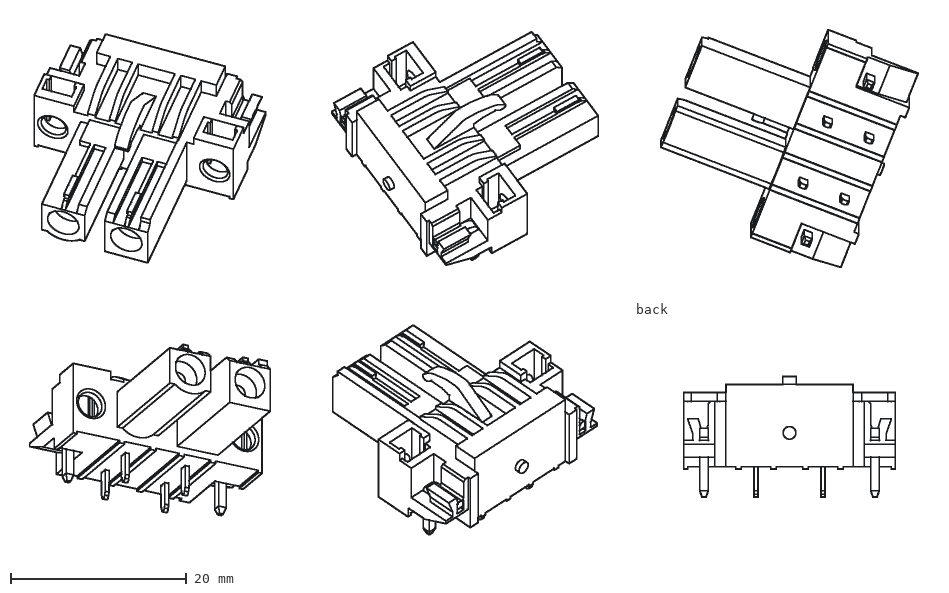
import cadquery as cq
import math


POLE_PITCH = 7.62
POLES = (-POLE_PITCH / 2, POLE_PITCH / 2)
AXIS_Z = 4.13
SIDES = (-1, 1)

BLOCK_HALF = 12.05
CORE_HALF = 8.49
BASE_Z = 0.27
DECK_Z = 7.73
BACK_FACE_Y = 10.73
BACK_EDGE_Y = 11.33
FOOT_WIDTH = 0.66
FOOT_OFFSET = 2.0
END_FOOT_WIDTH = 0.48

BAR_HALF = 7.24
BAR_FRONT_Y = 7.71
RIB_TOP_Z = 9.64
RIB_SPANS = ((-5.59, -4.68), (-2.95, -2.22), (2.22, 2.95), (4.68, 5.41))
RIB_CURVE_Y = 3.38
RIB_SLOPE = (1.9, 9.17)
RIB_CURVE_DROP = 0.12
RIB_FRONT_Z = 8.07
PEG_R = 0.72

TOWER_DEPTH = 3.45
TOWER_Z = 8.73
SCREW_X = 9.78
SCREW_R = 1.5
SCREW_MOUTH_R = 1.83
SCREW_CHAMFER = 0.25
NUT_POCKET_Z = 1.65
NUT_FRONT_Y = 1.27
NUT_BACK_Y = 4.28
NUT_INNER_X = 7.95
NUT_OUTER_FRONT_X = 11.51
NUT_OUTER_BACK_X = 11.6
NUT_WAIST_FRONT_Y = 2.82
NUT_WAIST_INNER_X = 8.23
NUT_WAIST_OUTER_X = 11.21

WING_BACK_Y = 11.0
WING_LEG_Y = 4.82
WING_UNDER_Z = 1.36
WING_SLOPE_Y = 7.55
WING_SLOPE_Z = 2.85
WING_FILLET = 0.2
SHELF_Z = 3.27
POCKET_FRONT_Y = 5.36
JAW_FRONT_Y = 7.36

STRIP_X = 9.73
STRIP_SIZE = 1.0
STRIP_TIP = 0.48
STRIP_TOP_Z = 4.64
STRIP_BACK_Y = 10.82
STRIP_WALL_GAP = 0.06
STRIP_LEG_Y = POCKET_FRONT_Y + STRIP_WALL_GAP
BEND_OUTER_R = 1.55
LIP_OUTER_X = STRIP_X + 0.34
LIP_INNER_X = STRIP_X - 0.31
JAW_TOP_Z = 5.73
JAW_NECK_Z = 4.0
JAW_TOP_OUTER_X = 11.6
JAW_TOP_INNER_X = 10.4
JAW_NECK_X = 11.0
WALL_X = 9.24
WALL_SLOPE_Z = 5.07
WALL_CHAMFER = 0.28

SLEEVE_FRONT_Y = -13.21
SLEEVE_HALF = 2.6
SLEEVE_TOP_Z = 6.36
LEFT_SLEEVE_BOTTOM_Z = 1.91
RIGHT_SLEEVE_BOTTOM_Z = 1.09
SLEEVE_BELLY_R = 2.96
SOCKET_R = 1.89
SOCKET_DEPTH = 2.1
SOCKET_END_R = 0.93

CODING_Z = 7.09
TALL_CODING_Z = DECK_Z
SLAB_FRONT_Y = -3.35
NOSE_Y = -12.43
INNER_RIB_WIDTH = 0.99
LEFT_SLAB_X = -5.33
RIGHT_RIB_X = 5.31
KEY_WEB = 0.48
KEY_HEAD = 0.66
KEY_HEAD_Z = 7.36
KEY_HEAD_Y = (-12.07, -9.09)

LATCH_HALF = 0.79
LATCH_ROOT_Y = POCKET_FRONT_Y
LATCH_TOP_Z = 10.56
LATCH_CREST_BACK_Y = 1.0
LATCH_CREST_FRONT_Y = -0.55
LATCH_THROAT_Z = 8.82
LATCH_THROAT_FRONT_Y = -2.95
LATCH_THROAT_BACK_Y = -1.22
LATCH_NECK_Z = 8.47
LATCH_RAMP_END = (1.9, 10.15)
LATCH_CREST_MID = (1.48, 10.43)
LATCH_FALL_END = (-2.36, 10.15)
LATCH_BROW_END = (-3.8, 9.36)
LATCH_NOSE = (-4.27, 8.9)
LATCH_CHIN = (-4.2, 8.5)
LATCH_HOOK_FRONT = (-3.9, 8.36)
LATCH_HOOK_LOW = (-3.6, 8.36)
LATCH_HOOK_BACK = (-3.35, 8.46)

PIN_TIP_Z = -3.18
PIN_TAPER = 0.74
CONTACT_TIP_R = 0.33
PIN_THICKNESS = 0.5
PIN_WIDTH = 1.0
PIN_ROWS = (3.14, 8.22)
PIN_TOP_Z = 2.0


def box(x, y, z):
    """Box between pairs of limits, given in any order."""
    size = [abs(b - a) for a, b in (x, y, z)]
    low = [min(limits) for limits in (x, y, z)]
    return cq.Workplane("XY").box(*size, centered=False).translate(tuple(low))


def side_profile(x0, x1, start):
    """Begin a (Y, Z) outline in the plane X = min(x0, x1); returns the sketch and its extrusion."""
    sketch = cq.Workplane("YZ", origin=(min(x0, x1), 0, 0)).moveTo(*start)
    return sketch, abs(x1 - x0)


def core():
    body = box((-CORE_HALF, CORE_HALF), (0, BACK_FACE_Y), (BASE_Z, DECK_Z))
    for side in SIDES:
        body = body.union(box((side * BAR_HALF, side * CORE_HALF), (0, BACK_EDGE_Y), (BASE_Z, DECK_Z)))
    for pole in POLES:
        for side in SIDES:
            foot_x = pole + side * FOOT_OFFSET
            span = (foot_x - FOOT_WIDTH / 2, foot_x + FOOT_WIDTH / 2)
            body = body.union(box(span, (0, BACK_FACE_Y), (0, BASE_Z)))
    peg_end = cq.Workplane("XZ", origin=(0, BACK_EDGE_Y, AXIS_Z))
    peg = peg_end.circle(PEG_R).extrude(BACK_EDGE_Y - BAR_FRONT_Y)
    return body.union(peg)


def deck_ribs():
    ribs = box((-BAR_HALF, BAR_HALF), (BAR_FRONT_Y, BACK_FACE_Y), (DECK_Z, RIB_TOP_Z))
    crest_mid = ((RIB_CURVE_Y + RIB_SLOPE[0]) / 2, RIB_TOP_Z - RIB_CURVE_DROP)
    for x0, x1 in RIB_SPANS:
        sketch, width = side_profile(x0, x1, (0, DECK_Z))
        rib = (
            sketch.lineTo(0, RIB_FRONT_Z)
            .lineTo(*RIB_SLOPE)
            .threePointArc(crest_mid, (RIB_CURVE_Y, RIB_TOP_Z))
            .lineTo(BAR_FRONT_Y, RIB_TOP_Z)
            .lineTo(BAR_FRONT_Y, DECK_Z)
            .close()
            .extrude(width)
        )
        ribs = ribs.union(rib)
    return ribs


def latch():
    """Hooked finger that rises from the deck and overhangs the front face, as a (Y, Z) outline."""
    sketch, width = side_profile(-LATCH_HALF, LATCH_HALF, (0, DECK_Z))
    return (
        sketch.lineTo(LATCH_ROOT_Y, DECK_Z)
        .lineTo(*LATCH_RAMP_END)
        .threePointArc(LATCH_CREST_MID, (LATCH_CREST_BACK_Y, LATCH_TOP_Z))
        .lineTo(LATCH_CREST_FRONT_Y, LATCH_TOP_Z)
        .lineTo(*LATCH_FALL_END)
        .tangentArcPoint(LATCH_BROW_END, relative=False)
        .lineTo(*LATCH_NOSE)
        .threePointArc(LATCH_CHIN, LATCH_HOOK_FRONT)
        .threePointArc(LATCH_HOOK_LOW, LATCH_HOOK_BACK)
        .lineTo(LATCH_THROAT_FRONT_Y, LATCH_THROAT_Z)
        .lineTo(LATCH_THROAT_BACK_Y, LATCH_THROAT_Z)
        .lineTo(0, LATCH_NECK_Z)
        .close()
        .extrude(width)
    )


def wing(side):
    """Outer end of the housing: front leg, raised tower and the shelf behind it."""
    inner, outer = side * CORE_HALF, side * BLOCK_HALF
    sketch, width = side_profile(inner, outer, (0, BASE_Z))
    body = (
        sketch.lineTo(0, DECK_Z)
        .lineTo(POCKET_FRONT_Y, DECK_Z)
        .lineTo(POCKET_FRONT_Y, SHELF_Z)
        .lineTo(WING_BACK_Y, SHELF_Z)
        .lineTo(WING_BACK_Y, WING_SLOPE_Z)
        .lineTo(WING_SLOPE_Y, WING_UNDER_Z)
        .lineTo(WING_LEG_Y + WING_FILLET, WING_UNDER_Z)
        .radiusArc((WING_LEG_Y, WING_UNDER_Z - WING_FILLET), -WING_FILLET)
        .lineTo(WING_LEG_Y, BASE_Z)
        .close()
        .extrude(width)
    )
    body = body.union(box((side * BAR_HALF, outer), (0, TOWER_DEPTH), (DECK_Z, TOWER_Z)))
    return body.union(box((outer, outer - side * END_FOOT_WIDTH), (0, WING_LEG_Y), (0, BASE_Z)))


def jaws(side):
    """Outer jaw and inner wall whose lips hold the strip down."""
    gap_outer = STRIP_X + STRIP_SIZE / 2
    gap_inner = STRIP_X - STRIP_SIZE / 2
    outer_jaw = [
        (gap_outer, SHELF_Z),
        (gap_outer, STRIP_TOP_Z),
        (LIP_OUTER_X, STRIP_TOP_Z),
        (JAW_TOP_INNER_X, JAW_TOP_Z),
        (JAW_TOP_OUTER_X, JAW_TOP_Z),
        (JAW_NECK_X, JAW_NECK_Z),
        (JAW_NECK_X, SHELF_Z),
    ]
    inner_wall = [
        (CORE_HALF, SHELF_Z),
        (gap_inner, SHELF_Z),
        (gap_inner, STRIP_TOP_Z),
        (LIP_INNER_X, STRIP_TOP_Z),
        (WALL_X, WALL_SLOPE_Z),
        (WALL_X, DECK_Z - WALL_CHAMFER),
        (WALL_X - WALL_CHAMFER, DECK_Z),
        (CORE_HALF, DECK_Z),
    ]
    plane = cq.Workplane("XZ", origin=(0, WING_BACK_Y, 0))
    pair = cq.Workplane("XY")
    for outline in (outer_jaw, inner_wall):
        points = [(side * x, z) for x, z in outline]
        pair = pair.union(plane.polyline(points).close().extrude(WING_BACK_Y - JAW_FRONT_Y))
    return pair


def nut_pocket(side):
    outline = [
        (NUT_INNER_X, NUT_FRONT_Y),
        (NUT_INNER_X, NUT_WAIST_FRONT_Y),
        (NUT_WAIST_INNER_X, NUT_WAIST_FRONT_Y),
        (NUT_WAIST_INNER_X, TOWER_DEPTH),
        (NUT_INNER_X, TOWER_DEPTH),
        (NUT_INNER_X, NUT_BACK_Y),
        (NUT_OUTER_BACK_X, NUT_BACK_Y),
        (NUT_OUTER_BACK_X, TOWER_DEPTH),
        (NUT_WAIST_OUTER_X, TOWER_DEPTH),
        (NUT_WAIST_OUTER_X, NUT_WAIST_FRONT_Y),
        (NUT_OUTER_FRONT_X, NUT_WAIST_FRONT_Y),
        (NUT_OUTER_FRONT_X, NUT_FRONT_Y),
    ]
    points = [(side * x, y) for x, y in outline]
    plane = cq.Workplane("XY", origin=(0, 0, NUT_POCKET_Z))
    return plane.polyline(points).close().extrude(TOWER_Z - NUT_POCKET_Z)


def turned_hole(x, outline):
    """Round hole about a Y axis at (x, AXIS_Z), from (radius, Y) points closed along the axis."""
    points = [(0, outline[0][1]), *outline, (0, outline[-1][1])]
    hole = cq.Workplane("XY").polyline(points).close().revolve(360, (0, 0, 0), (0, 1, 0))
    return hole.translate((x, 0, AXIS_Z))


def screw_hole(side):
    outline = [(SCREW_MOUTH_R, 0), (SCREW_R, SCREW_CHAMFER), (SCREW_R, NUT_WAIST_FRONT_Y)]
    return turned_hole(side * SCREW_X, outline)


def socket(pole):
    cone_y = SLEEVE_FRONT_Y + SOCKET_DEPTH
    outline = [
        (SOCKET_R, SLEEVE_FRONT_Y),
        (SOCKET_R, cone_y),
        (SOCKET_END_R, cone_y + SOCKET_R - SOCKET_END_R),
    ]
    return turned_hole(pole, outline)


def nosed_rib(x0, x1):
    """Full-length rib whose front end slopes down to the sleeve's front edge."""
    sketch, width = side_profile(x0, x1, (0, SLEEVE_TOP_Z))
    return (
        sketch.lineTo(0, CODING_Z)
        .lineTo(NOSE_Y, CODING_Z)
        .lineTo(SLEEVE_FRONT_Y, SLEEVE_TOP_Z)
        .close()
        .extrude(width)
    )


def slab(x0, x1):
    return box((x0, x1), (SLAB_FRONT_Y, 0), (SLEEVE_TOP_Z, CODING_Z))


def centre_key(pole):
    web = (pole - KEY_WEB / 2, pole + KEY_WEB / 2)
    head = (pole - KEY_HEAD / 2, pole + KEY_HEAD / 2)
    key = nosed_rib(*web)
    key = key.union(box(web, KEY_HEAD_Y, (SLEEVE_TOP_Z, KEY_HEAD_Z)))
    return key.union(box(head, KEY_HEAD_Y, (KEY_HEAD_Z, TALL_CODING_Z)))


def sleeve_block(pole, bottom_z):
    span = (pole - SLEEVE_HALF, pole + SLEEVE_HALF)
    return box(span, (SLEEVE_FRONT_Y, 0), (bottom_z, SLEEVE_TOP_Z))


def left_sleeve():
    pole = POLES[0]
    belly = cq.Workplane("XZ", origin=(pole, 0, AXIS_Z)).circle(SLEEVE_BELLY_R).extrude(-SLEEVE_FRONT_Y)
    below = box((pole - SLEEVE_HALF, pole + SLEEVE_HALF), (SLEEVE_FRONT_Y, 0), (0, LEFT_SLEEVE_BOTTOM_Z))
    inner_edge = pole + SLEEVE_HALF
    return (
        sleeve_block(pole, LEFT_SLEEVE_BOTTOM_Z)
        .union(belly.intersect(below))
        .union(slab(LEFT_SLAB_X, inner_edge))
        .union(nosed_rib(inner_edge - INNER_RIB_WIDTH, inner_edge))
        .union(centre_key(pole))
        .cut(socket(pole))
    )


def right_sleeve():
    pole = POLES[1]
    inner_edge = pole - SLEEVE_HALF
    tall_rib = (RIGHT_RIB_X, pole + SLEEVE_HALF)
    return (
        sleeve_block(pole, RIGHT_SLEEVE_BOTTOM_Z)
        .union(slab(inner_edge, RIGHT_RIB_X))
        .union(nosed_rib(inner_edge, inner_edge + INNER_RIB_WIDTH))
        .union(nosed_rib(*tall_rib))
        .union(box(tall_rib, (NOSE_Y, 0), (CODING_Z, TALL_CODING_Z)))
        .union(centre_key(pole))
        .cut(socket(pole))
    )


def contact_pin(x, y):
    """Flat pin whose edges taper to a fully rounded tip."""
    half = PIN_WIDTH / 2
    tip_centre_z = PIN_TIP_Z + CONTACT_TIP_R
    sketch, width = side_profile(x - PIN_THICKNESS / 2, x + PIN_THICKNESS / 2, (y - half, PIN_TOP_Z))
    return (
        sketch.lineTo(y - half, PIN_TIP_Z + PIN_TAPER)
        .lineTo(y - CONTACT_TIP_R, tip_centre_z)
        .threePointArc((y, PIN_TIP_Z), (y + CONTACT_TIP_R, tip_centre_z))
        .lineTo(y + half, PIN_TIP_Z + PIN_TAPER)
        .lineTo(y + half, PIN_TOP_Z)
        .close()
        .extrude(width)
    )


def hold_down_leg(x, y, top_z):
    """Square leg with a tapered tip."""
    shoulder_z = PIN_TIP_Z + PIN_TAPER
    tip = (
        cq.Workplane("XY", origin=(x, y, PIN_TIP_Z))
        .rect(STRIP_TIP, STRIP_TIP)
        .workplane(offset=PIN_TAPER)
        .rect(STRIP_SIZE, STRIP_SIZE)
        .loft(ruled=True)
    )
    shoulder = cq.Workplane("XY", origin=(x, y, shoulder_z))
    shank = shoulder.rect(STRIP_SIZE, STRIP_SIZE).extrude(top_z - shoulder_z)
    return shank.union(tip)


def hold_down(side):
    """Strip lying between the jaws and bent down through the shelf into a board leg."""
    x0 = side * STRIP_X - STRIP_SIZE / 2
    centre_y = STRIP_LEG_Y + BEND_OUTER_R
    centre_z = STRIP_TOP_Z - BEND_OUTER_R
    inner_r = BEND_OUTER_R - STRIP_SIZE
    diagonal = math.sqrt(0.5)
    outer_mid = (centre_y - BEND_OUTER_R * diagonal, centre_z + BEND_OUTER_R * diagonal)
    inner_mid = (centre_y - inner_r * diagonal, centre_z + inner_r * diagonal)
    sketch, width = side_profile(x0, x0 + STRIP_SIZE, (STRIP_LEG_Y, centre_z))
    strip = (
        sketch.threePointArc(outer_mid, (centre_y, STRIP_TOP_Z))
        .lineTo(STRIP_BACK_Y, STRIP_TOP_Z)
        .lineTo(STRIP_BACK_Y, STRIP_TOP_Z - STRIP_SIZE)
        .lineTo(centre_y, STRIP_TOP_Z - STRIP_SIZE)
        .threePointArc(inner_mid, (centre_y - inner_r, centre_z))
        .close()
        .extrude(width)
    )
    return strip.union(hold_down_leg(side * STRIP_X, STRIP_LEG_Y + STRIP_SIZE / 2, centre_z))


contact_pins = [contact_pin(pole, row) for pole in POLES for row in PIN_ROWS]
hold_downs = [hold_down(side) for side in SIDES]

housing = core().union(deck_ribs()).union(latch())
for side in SIDES:
    housing = housing.union(wing(side)).union(jaws(side))
    housing = housing.cut(nut_pocket(side)).cut(screw_hole(side))
housing = housing.union(left_sleeve()).union(right_sleeve())
for metal in contact_pins + hold_downs:
    housing = housing.cut(metal)

result = cq.Compound.makeCompound([
    housing.val(),
    *[pin.val() for pin in contact_pins],
    *[strip.val() for strip in hold_downs],
])